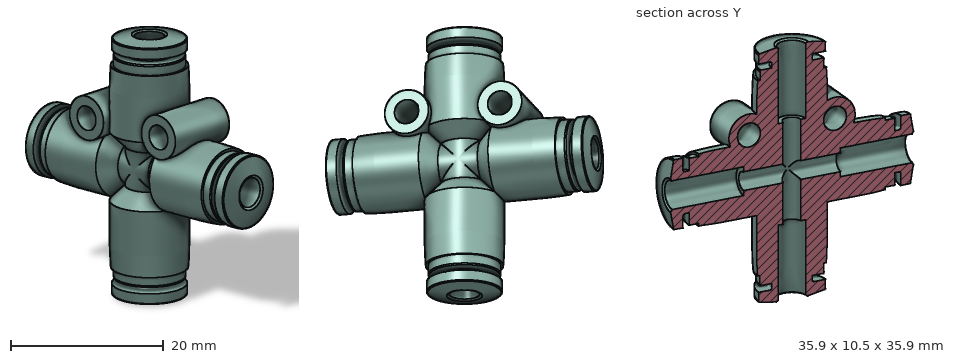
import cadquery as cq
import math


span = 35.9
arm_reach = span / 2
body_diameter = 10.5
body_radius = body_diameter / 2

neck_radius = 3.2
cone_start = 2.7
cone_end = 4.75

taper_start = 10.77
taper_end = 13.8
taper_end_radius = 5.1
collar_radius = 9.5 / 2
collar_end = 15.22
collar_chamfer = 0.2
collar_chamfer_inset = 0.07

stem_radius = 6.0 / 2
button_radius = 9.9 / 2
button_start = 16.05
button_rim_end = 17.38
stem_fillet = 0.3
rim_bevel_radius = 4.8
rim_bevel_end = 17.52

tube_radius = 4.0 / 2
tube_bore_end = 7.18
mouth_radius = 4.65 / 2
mouth_depth = 0.2
passage_diameter = 2.6

boss_diameter = 6.0
boss_hole_diameter = 3.3
boss_offset = 6.35

ARM_ANGLES = (0, 90, 180, 270)


def turn(shape, angle):
    """Turn a shape built along +Z about the Y axis."""
    return shape.rotate((0, 0, 0), (0, 1, 0), angle)


def make_arm():
    """Solid arm along +Z, revolved from a half profile of (radius, height) points."""
    taper_length = taper_end - taper_start
    taper_drop = body_radius - taper_end_radius
    crown_middle = (body_radius - taper_drop / 4, taper_start + taper_length / 2)
    fillet_middle = stem_fillet * (1 - math.sqrt(0.5))
    profile = (
        cq.Workplane("XZ")
        .lineTo(neck_radius, 0)
        .lineTo(neck_radius, cone_start)
        .lineTo(body_radius, cone_end)
        .lineTo(body_radius, taper_start)
        .threePointArc(crown_middle, (taper_end_radius, taper_end))
        .lineTo(collar_radius, taper_end)
        .lineTo(collar_radius, collar_end - collar_chamfer)
        .lineTo(collar_radius - collar_chamfer_inset, collar_end)
        .lineTo(stem_radius, collar_end)
        .lineTo(stem_radius, button_start - stem_fillet)
        .threePointArc(
            (stem_radius + fillet_middle, button_start - fillet_middle),
            (stem_radius + stem_fillet, button_start),
        )
        .lineTo(button_radius, button_start)
        .lineTo(button_radius, button_rim_end)
        .lineTo(rim_bevel_radius, rim_bevel_end)
        .lineTo(mouth_radius, arm_reach)
        .lineTo(0, arm_reach)
        .close()
    )
    return profile.revolve(360, (0, 0, 0), (0, 1, 0))


def make_tube_bore():
    """Tube socket along +Z with a flared mouth."""
    profile = (
        cq.Workplane("XZ")
        .moveTo(0, tube_bore_end)
        .lineTo(tube_radius, tube_bore_end)
        .lineTo(tube_radius, arm_reach - mouth_depth)
        .lineTo(mouth_radius, arm_reach)
        .lineTo(0, arm_reach)
        .close()
    )
    return profile.revolve(360, (0, 0, 0), (0, 1, 0))


def make_y_cylinders(diameter):
    """Cylinders along Y at both boss positions, as deep as the body."""
    return (
        cq.Workplane("XZ", origin=(0, body_radius, 0))
        .pushPoints([(-boss_offset, boss_offset), (boss_offset, boss_offset)])
        .circle(diameter / 2)
        .extrude(body_diameter)
    )


arm = make_arm()
result = arm
for arm_angle in ARM_ANGLES[1:]:
    result = result.union(turn(arm, arm_angle))
result = result.union(make_y_cylinders(boss_diameter))

tube_bore = make_tube_bore()
for arm_angle in ARM_ANGLES:
    result = result.cut(turn(tube_bore, arm_angle))
for plane in ("XY", "YZ"):
    passage = cq.Workplane(plane).circle(passage_diameter / 2).extrude(arm_reach, both=True)
    result = result.cut(passage)
result = result.cut(make_y_cylinders(boss_hole_diameter))